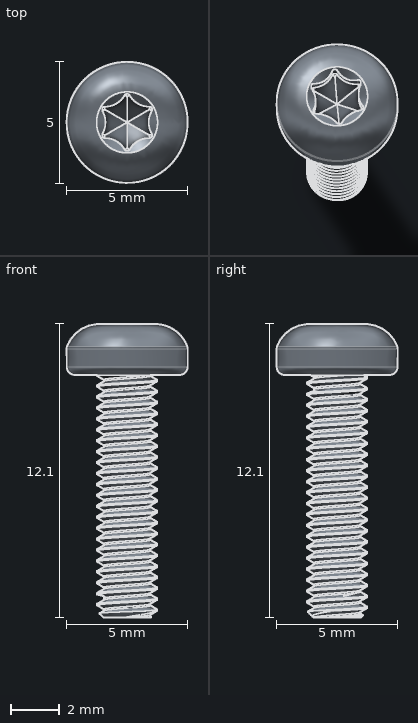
import cadquery as cq
import math

total_length = 12.1
head_height = 2.1
head_diameter = 5.0
dome_height = 0.97
dome_mid_radius = 1.98
dome_mid_drop = 0.27
rim_blend_radius = 0.25
bearing_edge_radius = 0.35

thread_radius = 1.25
thread_depth = 0.28
thread_turns = 22.2
flank_half_angle = 30.0

mouth_radius = 1.26
mouth_slope = 30.0
lobe_count = 6
lobe_tip_reach = 1.17
lobe_radius = 0.12
valley_diameter = 1.78
wall_depth = 0.73
floor_slope = 30.0

shank_length = total_length - head_height
head_radius = head_diameter / 2
thread_pitch = shank_length / thread_turns
crest_width = thread_pitch / 8
valley_reach = valley_diameter / 2
root_radius = thread_radius - thread_depth


def tangent(degrees):
    return math.tan(math.radians(degrees))


def make_head():
    """Pan head with a conical countersink for the recess."""
    rim_top = total_length - dome_height
    profile = (
        cq.Workplane("XZ")
        .moveTo(0, shank_length)
        .lineTo(head_radius, shank_length)
        .lineTo(head_radius, rim_top)
        .threePointArc((dome_mid_radius, total_length - dome_mid_drop), (mouth_radius, total_length))
        .lineTo(0, total_length - mouth_radius * tangent(mouth_slope))
        .close()
    )
    head = profile.revolve(360, (0, 0), (0, 1))
    head = head.faces("%CYLINDER").edges(">Z").fillet(rim_blend_radius)
    return head.faces("<Z").edges().fillet(bearing_edge_radius)


def make_threaded_shank():
    """Core with one right-handed helical ridge, trimmed to the shank ends and the end chamfer."""
    turns = math.ceil(thread_turns) + 1
    first_crest = shank_length - (turns - 0.5) * thread_pitch

    root_overlap = 0.01
    ridge_base = root_radius - root_overlap
    crest_half_width = crest_width / 2
    base_half_width = crest_half_width + (thread_radius - ridge_base) * tangent(flank_half_angle)
    helix = cq.Wire.makeHelix(thread_pitch, turns * thread_pitch, root_radius)
    ridge = (
        cq.Workplane("XZ")
        .moveTo(ridge_base, -base_half_width)
        .lineTo(thread_radius, -crest_half_width)
        .lineTo(thread_radius, crest_half_width)
        .lineTo(ridge_base, base_half_width)
        .close()
        .sweep(cq.Workplane(obj=helix), isFrenet=True)
        .translate((0, 0, first_crest))
    )
    core_overrun = 3 * thread_pitch
    core = (
        cq.Workplane("XY", origin=(0, 0, -core_overrun))
        .circle(root_radius)
        .extrude(shank_length + 2 * core_overrun)
    )

    trim_clearance = 0.02
    trim = (
        cq.Workplane("XY")
        .circle(thread_radius + trim_clearance)
        .extrude(shank_length)
        .faces("<Z")
        .chamfer(thread_depth + trim_clearance)
    )
    return core.union(ridge).intersect(trim)


def revolved_cutter(points):
    """Revolve an outline of (radius, height) points about Z."""
    return cq.Workplane("XZ").polyline(points).close().revolve(360, (0, 0), (0, 1))


def polar(radius, degrees):
    angle = math.radians(degrees)
    return (radius * math.cos(angle), radius * math.sin(angle), 0)


def make_recess():
    """Six-lobe socket whose floor slopes inward from every wall at the same angle."""
    lobe_center = lobe_tip_reach - lobe_radius
    half_step = 180 / lobe_count
    lobe_projection = lobe_center * math.cos(math.radians(half_step))
    valley_radius = (
        valley_reach**2 + lobe_center**2 - 2 * valley_reach * lobe_projection - lobe_radius**2
    ) / (2 * (lobe_projection + lobe_radius - valley_reach))
    valley_center = valley_reach + valley_radius

    wall_bottom = total_length - wall_depth
    floor_fall = tangent(floor_slope)
    floor_bottom = wall_bottom - valley_reach * floor_fall

    star = []
    for i in range(lobe_count):
        valley_angle = 2 * half_step * i
        star.append(polar(valley_center, valley_angle)[:2])
        star.append(polar(lobe_center, valley_angle + half_step)[:2])
    socket = (
        cq.Workplane("XY", origin=(0, 0, floor_bottom))
        .polyline(star)
        .close()
        .extrude(total_length - floor_bottom)
    )

    valley = revolved_cutter(
        [
            (0, floor_bottom),
            (valley_center, floor_bottom),
            (valley_radius, wall_bottom),
            (valley_radius, total_length),
            (0, total_length),
        ]
    )
    lobe = revolved_cutter(
        [
            (0, wall_bottom - lobe_radius * floor_fall),
            (lobe_radius, wall_bottom),
            (lobe_radius, total_length),
            (0, total_length),
        ]
    )
    for i in range(lobe_count):
        socket = socket.cut(valley.translate(polar(valley_center, 2 * half_step * i)))
    for i in range(lobe_count):
        socket = socket.union(lobe.translate(polar(lobe_center, 2 * half_step * i + half_step)))
    return socket


head = make_head().cut(make_recess())
result = head.union(make_threaded_shank())